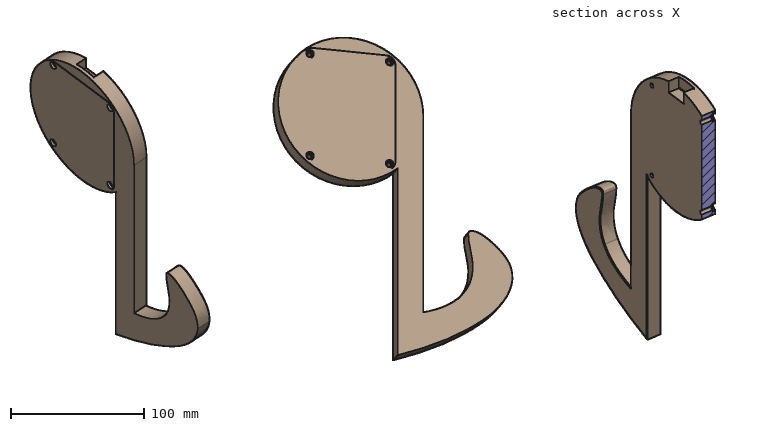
import cadquery as cq

thickness = 13.0
total_height = 249
disc_radius = 56.8
stem_width = 20.2
back_chamfer = 0.7

hook_outer_points = [(73.2, -176.5), (96.5, -162.3), (113.0, -148.5), (122.7, -135.2)]
hook_far_point = (126.5, -122)
hook_crown_points = [(123.0, -108.3), (115.5, -99.3), (104.3, -90.4)]
hook_tip_top = (95.5, -87)
hook_tip_side = (91.9, -90.4)
hook_inner_upper_points = [(92.8, -99.0), (95.0, -111.3), (94.8, -122)]
hook_inner_joint = (90.0, -134.5)
hook_inner_lower_points = [(86.1, -139.6), (74.2, -148.9)]
hook_root_z = -155.8

panel_width = 72.0
panel_height = 91.0
panel_corner_radius = 7.5
panel_center = (-1.0, 0.2)
seam_width = 0.2
seam_depth = 2.5

screw_spacing_x = 62.2
screw_spacing_z = 81.1
screw_center = (-0.7, 0.2)
screw_diameter = 3.5
screw_head_diameter = 6.0
screw_head_depth = 2.5

notch_width = 19.0
notch_front_wall = 3.2

stem_left = disc_radius - stem_width
bottom_z = disc_radius - total_height
panel_top = panel_center[1] + panel_height / 2


def front_sketch(depth=0):
    """XZ sketch at a depth behind the front face; negative extrusions go toward the back."""
    return cq.Workplane("XZ", origin=(0, depth, 0))


def make_disc():
    return front_sketch().circle(disc_radius).extrude(-thickness)


def make_stem_and_hook():
    body = (
        front_sketch()
        .moveTo(stem_left, 0)
        .lineTo(stem_left, bottom_z)
        .spline(hook_outer_points + [hook_far_point], includeCurrent=True)
        .spline(
            hook_crown_points + [hook_tip_top, hook_tip_side],
            tangents=[(0, 1), (0, -1)],
            includeCurrent=True,
        )
        .spline(hook_inner_upper_points + [hook_inner_joint], includeCurrent=True)
        .spline(hook_inner_lower_points + [(disc_radius, hook_root_z)], includeCurrent=True)
        .lineTo(disc_radius, 0)
        .close()
        .extrude(-thickness)
    )
    back_edges = body.faces(">Y").edges()
    stem_edge = cq.selectors.NearestToPointSelector((stem_left, thickness, bottom_z / 2))
    hook_x, hook_z = hook_outer_points[1]
    hook_edge = cq.selectors.NearestToPointSelector((hook_x, thickness, hook_z))
    return back_edges.edges(cq.selectors.SumSelector(stem_edge, hook_edge)).chamfer(back_chamfer)


def make_panel_seam():
    def panel(shift):
        return (
            front_sketch()
            .center(panel_center[0] - shift, panel_center[1] - shift)
            .rect(panel_width, panel_height)
            .extrude(-seam_depth)
            .edges("|Y")
            .fillet(panel_corner_radius)
        )

    return panel(0).cut(panel(seam_width))


def make_screw_holes():
    def cylinders(diameter, depth):
        return (
            front_sketch()
            .center(*screw_center)
            .rarray(screw_spacing_x, screw_spacing_z, 2, 2)
            .circle(diameter / 2)
            .extrude(-depth)
        )

    return cylinders(screw_diameter, thickness).union(cylinders(screw_head_diameter, screw_head_depth))


def make_notch():
    height = disc_radius - panel_top
    return (
        front_sketch(notch_front_wall)
        .center(0, panel_top + height / 2)
        .rect(notch_width, height)
        .extrude(-(thickness - notch_front_wall))
    )


result = (
    make_disc()
    .union(make_stem_and_hook())
    .cut(make_panel_seam())
    .cut(make_screw_holes())
    .cut(make_notch())
)